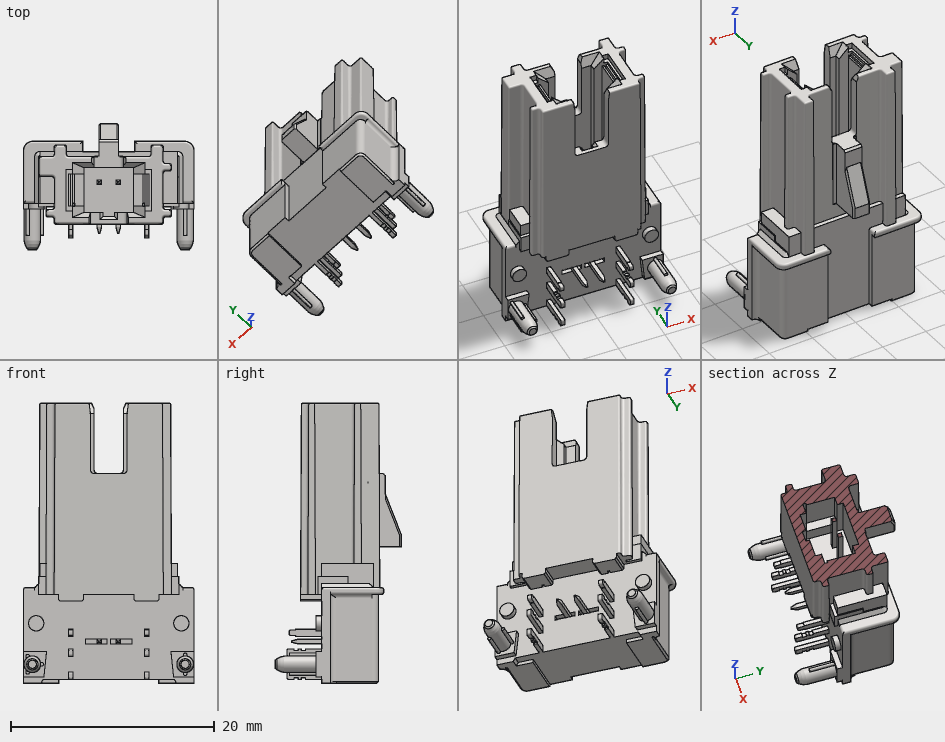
import cadquery as cq
BODY_HALF_X = 8.38
TOTAL_Z = 27.5
LATCH_BACK_Y = 7.82
PEG_TIP_Y = -4.56
DISC_DIA = 1.5

BASE_TOP_Z = 9.4
FLANGE_BACK_Y = 6.1
BACK_RECESS = 0.5
SIDE_RECESS = 0.6
STRIP_COVE_R = 0.6
FLANGE_COVE_R = 0.35
BODY_BOTTOM_CHAMFER = 0.2
FLANGE_BOTTOM_Z = 8.7
FLANGE_CORNER_R = 0.95
FLANGE_EDGE_R = 0.25
STRIP_DEPTH = 0.85
BODY_CORNER_R = 0.65
BACK_GAP_HALF_X = 2.55
BACK_GAP_Y = 5.08
FOOT_HEIGHT = 0.37
FOOT_INNER_X = 4.9
STRIP_FOOT_INNER_X = 6.45
STRIP_FOOT_SLOPE = 0.2

TOWER_BOTTOM_Z = 8.7
TOWER_DRAFT = 0.25
TOWER_TOP_R = 0.18
TOWER_CORNER_R = 0.22
TOWER_FRONT_Y = -2.08
TOWER_BACK_Y = 4.6
TOWER_HALF_X = 5.36
CORNER_RIB_X = 6.17
CORNER_RIB_FRONT_Y = -1.35
CORNER_RIB_BACK_Y = -0.6
BACK_RIB_Y = 5.72
BACK_RIB_INNER_X = 4.12
SIDE_RIB_FRONT_Y = 3.15
SIDE_RIB_BACK_Y = 3.92
WIDE_RIB_X = 6.86
WIDE_RIB_FRONT_Y = 2.6
TAB_BOTTOM_Z = 8.07
TAB_INNER_X = 2.46
TAB_OUTER_X = 4.95
TAB_CHAMFER = 0.17

SHOULDER_HALF_X = 6.87
SHOULDER_TOP_Z = 10.5
SHOULDER_FRONT_Y = -0.35
SADDLE_HALF_X = 6.75
SADDLE_TOP_Z = 11.78
SHOULDER_FOOT_CHAMFER = 0.4
SHOULDER_FOOT_R = 0.5

CAVITY_HALF_X = 2.45
CAVITY_FRONT_Y = -0.9
CAVITY_BACK_Y = 3.5
CAVITY_FLOOR_Z = 10.5
MOUTH_HALF_X = 3.55
MOUTH_FRONT_Y = -1.37
MOUTH_BACK_Y = 3.98
MOUTH_DEPTH = 1.0
POCKET_HALF_X = 3.35
POCKET_FRONT_Y = -0.28
POCKET_BACK_Y = 2.88
POCKET_FLOOR_Z = 12.0
LEDGE_DEPTH = 0.9
KEY_HALF_X = 0.55
KEY_FRONT_Y = -1.28
KEY_FLARE = 0.3
RECESS_X = 4.2
RECESS_FRONT_Y = -0.73
RECESS_BACK_Y = 3.33
RECESS_DEPTH = 0.6
CONTACT_SLOT_X = 3.95
CONTACT_THICKNESS = 0.2
CONTACT_DROP = 0.9
CONTACT_SLOT_DEPTH = 2.0
VENT_X = 3.44
VENT_Y = -0.14
VENT_SIZE = (0.2, 0.28)

FRONT_SLOT_HALF_X = 1.8
FRONT_SLOT_FLARE = (0.13, 1.0)
BACK_SLOT_HALF_X = 1.43
BACK_SLOT_FLARE = (0.26, 0.55)
SLOT_BOTTOM_Z = 20.6
SLOT_CORNER_R = 0.35

LATCH_HALF_X = 0.98
LATCH_ROOT_HALF_X = 1.35
LATCH_ROOT_Y = 4.65
LATCH_TIP_Y = 6.25
LATCH_RAMP_TOP_Z = 18.6
LATCH_RAMP_BOTTOM_Z = 14.6
LATCH_BOTTOM_Z = 13.4
LATCH_CHAMFER = 0.18
LATCH_TOP_CHAMFER = 0.22

STANDOFF = 0.57
DISC_X = 7.12
DISC_Z = 5.89
PEG_X = 7.5
PEG_Z = 1.87
PEG_R = 0.82
PEG_SHAFT_END_Y = -3.65
PEG_SHOULDER_R = 0.74
PEG_SHOULDER_Y = -4.0
PEG_CONE_R = 0.55
PEG_CONE_Y = -4.4
PEG_TIP_R = 0.4
PEG_RIB_CENTRE_R = 0.92
PEG_RIB_R = 0.18
PEG_RIB_END_Y = -3.15
LEFT_PEG_RIBS = (0, 120, 240)
RIGHT_PEG_RIBS = (90, 270)
PAD_BOTTOM_Z = 0.63
PAD_TOP_Z = 3.13
PAD_INNER_BOTTOM_X = 6.36
PAD_INNER_TOP_X = 6.1

TERMINAL_X = 3.73
TERMINAL_WIDTH = 0.42
TERMINAL_HEIGHT = 0.74
PLAIN_TERMINAL_Z = 4.96
PLAIN_TERMINAL_END_Y = -3.2
PLAIN_TIP_LENGTH = 0.65
PLAIN_TIP_STEP = 0.08
NOTCHED_TERMINAL_Z = (3.02, 0.74)
NOTCHED_TERMINAL_END_Y = -3.42
NOTCH_Y = (-1.8, -2.5)
NOTCH_LENGTH = 0.4
NOTCH_DEPTH = 0.16
TERMINAL_ROUND = 0.2
PIN_X = 0.93
PIN_Z = 4.1
PIN_SIZE = 0.46
PIN_END_Y = -2.95
PIN_TIP_LENGTH = 0.6
PIN_TIP_SIZE = 0.15
PIN_SLOT_INNER_X = 0.18
PIN_SLOT_OUTER_X = 2.28
PIN_SLOT_HEIGHT = 0.46
PIN_SLOT_DEPTH = 0.6
SIGNAL_PIN_Y = 2.08
SIGNAL_PIN_SIZE = 0.46
SIGNAL_PIN_TOP_Z = 16.0
SIGNAL_PIN_CHAMFER = 0.15


def box(x0, x1, y0, y1, z0, z1):
    """Box between opposite corners."""
    return cq.Workplane("XY").box(x1 - x0, y1 - y0, z1 - z0, centered=False).translate((x0, y0, z0))


def mirrored(shape):
    """A shape joined with its mirror image across X = 0."""
    return shape.union(shape.mirror("YZ"))


def board_plane(y):
    """XZ workplane at depth y; extrusion runs toward -Y."""
    return cq.Workplane("XZ", origin=(0, y, 0))


def body_block():
    """Body behind the strips, recessed from the flange at the sides and back."""
    side_x = BODY_HALF_X - SIDE_RECESS
    back_y = FLANGE_BACK_Y - BACK_RECESS
    body = box(-side_x, side_x, 0, back_y, 0, BASE_TOP_Z - FLANGE_EDGE_R)
    body = body.edges("|Z and >Y").fillet(BODY_CORNER_R)
    return body.faces("<Z").edges("not <Y").chamfer(BODY_BOTTOM_CHAMFER)


def flange():
    """Rounded collar in two halves, left open at the middle of the back."""
    half = box(BACK_GAP_HALF_X, BODY_HALF_X, 0, FLANGE_BACK_Y, FLANGE_BOTTOM_Z, BASE_TOP_Z)
    half = half.edges("|Z and >Y and >X").fillet(FLANGE_CORNER_R)
    half = half.faces(">Z").edges().fillet(FLANGE_EDGE_R)
    half = half.faces("<Z").edges("not <Y").fillet(FLANGE_EDGE_R)
    return mirrored(half)


def side_coves():
    """Concave blends from the side strips and the flange into the recessed sides."""
    side_x = BODY_HALF_X - SIDE_RECESS
    back_y = FLANGE_BACK_Y - BACK_RECESS
    upright = (
        cq.Workplane("XY")
        .moveTo(side_x, STRIP_DEPTH)
        .lineTo(side_x + STRIP_COVE_R, STRIP_DEPTH)
        .radiusArc((side_x, STRIP_DEPTH + STRIP_COVE_R), STRIP_COVE_R)
        .close()
        .extrude(FLANGE_BOTTOM_Z)
    )
    under_flange = (
        board_plane(back_y - BODY_CORNER_R)
        .moveTo(side_x, FLANGE_BOTTOM_Z)
        .lineTo(side_x + FLANGE_COVE_R, FLANGE_BOTTOM_Z)
        .radiusArc((side_x, FLANGE_BOTTOM_Z - FLANGE_COVE_R), -FLANGE_COVE_R)
        .close()
        .extrude(back_y - BODY_CORNER_R - STRIP_DEPTH)
    )
    return mirrored(upright.union(under_flange))


def base_housing():
    strip = box(-BODY_HALF_X, BODY_HALF_X, 0, STRIP_DEPTH, 0, BASE_TOP_Z - FLANGE_EDGE_R)
    base = body_block().union(flange()).union(strip).union(side_coves())
    base = base.cut(
        box(-BACK_GAP_HALF_X, BACK_GAP_HALF_X, BACK_GAP_Y, FLANGE_BACK_Y, 0, BASE_TOP_Z)
    )
    base = base.cut(box(-FOOT_INNER_X, FOOT_INNER_X, 0, FLANGE_BACK_Y, 0, FOOT_HEIGHT))
    slope_x = STRIP_FOOT_INNER_X + STRIP_FOOT_SLOPE
    strip_relief = (
        board_plane(STRIP_DEPTH)
        .polyline([
            (-slope_x, 0),
            (slope_x, 0),
            (STRIP_FOOT_INNER_X, FOOT_HEIGHT),
            (-STRIP_FOOT_INNER_X, FOOT_HEIGHT),
        ])
        .close()
        .extrude(STRIP_DEPTH)
    )
    return base.cut(strip_relief)


def tab_clearance():
    """Space under the tower's overhang, less the two chamfered tabs left hanging there."""
    tab = box(TAB_INNER_X, TAB_OUTER_X, TOWER_FRONT_Y, 0, TAB_BOTTOM_Z, TOWER_BOTTOM_Z)
    tab = tab.edges("<Z and |Y").chamfer(TAB_CHAMFER)
    space = box(
        -WIDE_RIB_X, WIDE_RIB_X, TOWER_FRONT_Y, BACK_RIB_Y, TAB_BOTTOM_Z, TOWER_BOTTOM_Z
    )
    return space.cut(mirrored(tab))


def tower():
    """Drafted tower with ribs on its sides and back."""
    corner_rib = [
        (TOWER_HALF_X, TOWER_FRONT_Y),
        (TOWER_HALF_X, CORNER_RIB_FRONT_Y),
        (CORNER_RIB_X, CORNER_RIB_FRONT_Y),
        (CORNER_RIB_X, CORNER_RIB_BACK_Y),
        (TOWER_HALF_X, CORNER_RIB_BACK_Y),
    ]
    back_rib = [
        (TOWER_HALF_X, BACK_RIB_Y),
        (BACK_RIB_INNER_X, BACK_RIB_Y),
        (BACK_RIB_INNER_X, TOWER_BACK_Y),
    ]
    right_rib = [
        (TOWER_HALF_X, SIDE_RIB_FRONT_Y),
        (CORNER_RIB_X, SIDE_RIB_FRONT_Y),
        (CORNER_RIB_X, SIDE_RIB_BACK_Y),
        (TOWER_HALF_X, SIDE_RIB_BACK_Y),
    ]
    left_rib = [
        (TOWER_HALF_X, WIDE_RIB_FRONT_Y),
        (WIDE_RIB_X, WIDE_RIB_FRONT_Y),
        (WIDE_RIB_X, TOWER_BACK_Y),
        (TOWER_HALF_X, TOWER_BACK_Y),
    ]
    right_side = corner_rib + right_rib + back_rib
    left_side = [(-x, y) for x, y in corner_rib + left_rib + back_rib]
    outline = right_side + left_side[::-1]
    height = TOTAL_Z - TAB_BOTTOM_Z
    prism = (
        cq.Workplane("XY", origin=(0, 0, TAB_BOTTOM_Z))
        .polyline(outline)
        .close()
        .extrude(height)
        .edges("|Z")
        .fillet(TOWER_CORNER_R)
    )
    rounded_outline = prism.faces("<Z").wires().val()
    solid = cq.Workplane("XY").add(rounded_outline).toPending().extrude(height, taper=TOWER_DRAFT)
    solid = solid.faces(">Z").edges().fillet(TOWER_TOP_R)
    return solid.cut(tab_clearance())


def shoulders():
    lower = box(
        -SHOULDER_HALF_X, SHOULDER_HALF_X, SHOULDER_FRONT_Y, WIDE_RIB_FRONT_Y, TOWER_BOTTOM_Z, SHOULDER_TOP_Z
    )
    saddle = box(-SADDLE_HALF_X, SADDLE_HALF_X, 0, BACK_GAP_Y, TOWER_BOTTOM_Z, SADDLE_TOP_Z)
    reach = SHOULDER_HALF_X + SHOULDER_FOOT_CHAMFER
    foot = box(
        -reach, reach, 0, BACK_GAP_Y, FLANGE_BOTTOM_Z, BASE_TOP_Z + SHOULDER_FOOT_CHAMFER
    )
    foot = foot.edges("|Z and >Y").fillet(SHOULDER_FOOT_R)
    foot = foot.faces(">Z").edges("|Y").chamfer(SHOULDER_FOOT_CHAMFER)
    return lower.union(saddle).union(foot)


def cavity():
    hollow = box(
        -CAVITY_HALF_X, CAVITY_HALF_X, CAVITY_FRONT_Y, CAVITY_BACK_Y, CAVITY_FLOOR_Z, TOTAL_Z
    )
    mouth_y = (MOUTH_FRONT_Y + MOUTH_BACK_Y) / 2
    throat_y = (CAVITY_FRONT_Y + CAVITY_BACK_Y) / 2
    mouth = (
        cq.Workplane("XY", origin=(0, 0, TOTAL_Z))
        .center(0, mouth_y)
        .rect(2 * MOUTH_HALF_X, MOUTH_BACK_Y - MOUTH_FRONT_Y)
        .workplane(offset=-MOUTH_DEPTH)
        .center(0, throat_y - mouth_y)
        .rect(2 * CAVITY_HALF_X, CAVITY_BACK_Y - CAVITY_FRONT_Y)
        .loft(ruled=True)
    )
    pocket = box(
        -POCKET_HALF_X, POCKET_HALF_X, POCKET_FRONT_Y, POCKET_BACK_Y, POCKET_FLOOR_Z, TOTAL_Z
    )
    ledge = box(
        -MOUTH_HALF_X, MOUTH_HALF_X, POCKET_FRONT_Y, POCKET_BACK_Y, TOTAL_Z - LEDGE_DEPTH, TOTAL_Z
    )
    key = box(-KEY_HALF_X, KEY_HALF_X, KEY_FRONT_Y, CAVITY_FRONT_Y, CAVITY_FLOOR_Z, TOTAL_Z)
    key_mouth = (
        cq.Workplane("XY", origin=(0, CAVITY_FRONT_Y, SLOT_BOTTOM_Z))
        .rect(2 * (KEY_HALF_X + KEY_FLARE), 2 * (CAVITY_FRONT_Y - KEY_FRONT_Y + KEY_FLARE))
        .workplane(offset=-KEY_FLARE)
        .rect(2 * KEY_HALF_X, 2 * (CAVITY_FRONT_Y - KEY_FRONT_Y))
        .loft()
    )
    recess = box(
        MOUTH_HALF_X, RECESS_X, RECESS_FRONT_Y, RECESS_BACK_Y, TOTAL_Z - RECESS_DEPTH, TOTAL_Z
    )
    hollow = hollow.union(mouth).union(pocket).union(ledge)
    hollow = hollow.union(key).union(key_mouth).union(mirrored(recess))
    return hollow.union(contact_slots()).union(vents())


def contact_slots():
    """Slots beside the cavity, each leaving a contact blade standing on its outer side."""
    blade_x = CONTACT_SLOT_X - CONTACT_THICKNESS
    gap = box(
        MOUTH_HALF_X, blade_x, POCKET_FRONT_Y, POCKET_BACK_Y, TOTAL_Z - CONTACT_SLOT_DEPTH, TOTAL_Z
    )
    above_blade = box(
        blade_x, CONTACT_SLOT_X, POCKET_FRONT_Y, POCKET_BACK_Y, TOTAL_Z - CONTACT_DROP, TOTAL_Z
    )
    return mirrored(gap.union(above_blade))


def vents():
    """Small openings from the side pockets down through the overhang."""
    vent = (
        cq.Workplane("XY", origin=(VENT_X, VENT_Y, TAB_BOTTOM_Z))
        .rect(*VENT_SIZE)
        .extrude(TOTAL_Z - TAB_BOTTOM_Z)
    )
    return mirrored(vent)


def wall_slot(half_x, flare, front_y, back_y):
    """Round-cornered notch through one wall, flared outward at the top."""
    flare_width, flare_depth = flare
    slot = box(-half_x, half_x, front_y, back_y, SLOT_BOTTOM_Z, TOTAL_Z)
    slot = slot.edges("|Y and <Z").fillet(SLOT_CORNER_R)
    mouth = (
        board_plane(back_y)
        .polyline([
            (-half_x, TOTAL_Z - flare_depth),
            (half_x, TOTAL_Z - flare_depth),
            (half_x + flare_width, TOTAL_Z),
            (-half_x - flare_width, TOTAL_Z),
        ])
        .close()
        .extrude(back_y - front_y)
    )
    return slot.union(mouth)


def wall_slots():
    front = wall_slot(FRONT_SLOT_HALF_X, FRONT_SLOT_FLARE, TOWER_FRONT_Y, CAVITY_FRONT_Y)
    back = wall_slot(BACK_SLOT_HALF_X, BACK_SLOT_FLARE, CAVITY_BACK_Y, TOWER_BACK_Y)
    return front.union(back)


def latch():
    """Ramped hook on the back of the tower, with a wider root in the back wall."""
    profile = [
        (CAVITY_BACK_Y, LATCH_BOTTOM_Z),
        (LATCH_BACK_Y, LATCH_BOTTOM_Z),
        (LATCH_BACK_Y, LATCH_RAMP_BOTTOM_Z),
        (LATCH_TIP_Y, LATCH_RAMP_TOP_Z),
        (LATCH_TIP_Y, SLOT_BOTTOM_Z),
        (CAVITY_BACK_Y, SLOT_BOTTOM_Z),
    ]
    hook = (
        cq.Workplane("YZ", origin=(-LATCH_HALF_X, 0, 0))
        .polyline(profile)
        .close()
        .extrude(2 * LATCH_HALF_X)
    )
    hook = hook.edges("(|Z and >Y) or (not (|X or |Y or |Z))").chamfer(LATCH_CHAMFER)
    hook = hook.faces(">Z").edges(">Y").chamfer(LATCH_TOP_CHAMFER)
    root = box(
        -LATCH_ROOT_HALF_X, LATCH_ROOT_HALF_X, CAVITY_BACK_Y, LATCH_ROOT_Y, LATCH_BOTTOM_Z, SLOT_BOTTOM_Z
    )
    return hook.union(root)


def discs():
    """Round stand-offs on the board face."""
    return (
        board_plane(0)
        .pushPoints([(-DISC_X, DISC_Z), (DISC_X, DISC_Z)])
        .circle(DISC_DIA / 2)
        .extrude(STANDOFF)
    )


def peg_pads():
    """Raised pads under the pegs, each with one sloped side."""
    pad = (
        board_plane(0)
        .polyline([
            (PAD_INNER_BOTTOM_X, PAD_BOTTOM_Z),
            (BODY_HALF_X, PAD_BOTTOM_Z),
            (BODY_HALF_X, PAD_TOP_Z),
            (PAD_INNER_TOP_X, PAD_TOP_Z),
        ])
        .close()
        .extrude(STANDOFF)
    )
    return mirrored(pad)


def peg(x, rib_angles):
    """Stepped, tapered peg along -Y with crush ribs at the given angles."""
    shape = (
        cq.Workplane("XY")
        .polyline([
            (0, 0),
            (PEG_R, 0),
            (PEG_R, PEG_SHAFT_END_Y),
            (PEG_SHOULDER_R, PEG_SHOULDER_Y),
            (PEG_CONE_R, PEG_CONE_Y),
            (PEG_TIP_R, PEG_TIP_Y),
            (0, PEG_TIP_Y),
        ])
        .close()
        .revolve(360, (0, 0, 0), (0, 1, 0))
    )
    rib = board_plane(0).center(PEG_RIB_CENTRE_R, 0).circle(PEG_RIB_R).extrude(-PEG_RIB_END_Y)
    for angle in rib_angles:
        shape = shape.union(rib.rotate((0, 0, 0), (0, 1, 0), angle))
    return shape.translate((x, 0, PEG_Z))


def plain_terminal():
    """Flat terminal with a slightly narrower, rounded tip."""
    half_height = TERMINAL_HEIGHT / 2
    shank_end_y = PLAIN_TERMINAL_END_Y + PLAIN_TIP_LENGTH
    shank = (
        cq.Workplane("XY")
        .box(TERMINAL_WIDTH, -shank_end_y, TERMINAL_HEIGHT)
        .translate((TERMINAL_X, shank_end_y / 2, PLAIN_TERMINAL_Z))
    )
    tip = (
        cq.Workplane("XY")
        .box(TERMINAL_WIDTH, PLAIN_TIP_LENGTH, 2 * (half_height - PLAIN_TIP_STEP))
        .edges("|X and <Y")
        .fillet(TERMINAL_ROUND)
        .translate((TERMINAL_X, shank_end_y - PLAIN_TIP_LENGTH / 2, PLAIN_TERMINAL_Z))
    )
    return shank.union(tip)


def notched_terminal(z, notch_side):
    """Terminal with two notches on its upper (+1) or lower (-1) edge."""
    blade = (
        cq.Workplane("XY")
        .box(TERMINAL_WIDTH, -NOTCHED_TERMINAL_END_Y, TERMINAL_HEIGHT)
        .edges("|X and <Y")
        .fillet(TERMINAL_ROUND)
        .translate((TERMINAL_X, NOTCHED_TERMINAL_END_Y / 2, z))
    )
    for y in NOTCH_Y:
        notch = cq.Workplane("XY").box(TERMINAL_WIDTH, NOTCH_LENGTH, 2 * NOTCH_DEPTH)
        blade = blade.cut(notch.translate((TERMINAL_X, y, z + notch_side * TERMINAL_HEIGHT / 2)))
    return blade


def board_pin():
    """Square pin with a tapered tip, rooted at the back of its slot."""
    shank_end_y = PIN_END_Y + PIN_TIP_LENGTH
    shank = (
        board_plane(PIN_SLOT_DEPTH)
        .center(PIN_X, PIN_Z)
        .rect(PIN_SIZE, PIN_SIZE)
        .extrude(PIN_SLOT_DEPTH - shank_end_y)
    )
    tip = (
        board_plane(shank_end_y)
        .center(PIN_X, PIN_Z)
        .rect(PIN_SIZE, PIN_SIZE)
        .workplane(offset=PIN_TIP_LENGTH)
        .rect(PIN_TIP_SIZE, PIN_TIP_SIZE)
        .loft()
    )
    return shank.union(tip)


def pin_slots():
    half_height = PIN_SLOT_HEIGHT / 2
    slot = box(
        PIN_SLOT_INNER_X, PIN_SLOT_OUTER_X, 0, PIN_SLOT_DEPTH, PIN_Z - half_height, PIN_Z + half_height
    )
    return mirrored(slot)


def signal_pins():
    """Square pins standing on the cavity floor."""
    pin = (
        cq.Workplane("XY", origin=(PIN_X, SIGNAL_PIN_Y, CAVITY_FLOOR_Z))
        .rect(SIGNAL_PIN_SIZE, SIGNAL_PIN_SIZE)
        .extrude(SIGNAL_PIN_TOP_Z - CAVITY_FLOOR_Z)
        .faces(">Z")
        .chamfer(SIGNAL_PIN_CHAMFER)
    )
    return mirrored(pin)


def terminals():
    upper_z, lower_z = NOTCHED_TERMINAL_Z
    row = plain_terminal().union(notched_terminal(upper_z, 1)).union(notched_terminal(lower_z, -1))
    return mirrored(row.union(board_pin()))


housing = base_housing().union(tower()).union(shoulders())
housing = housing.cut(cavity()).cut(wall_slots()).cut(pin_slots())
housing = housing.union(latch()).union(discs()).union(peg_pads())
housing = housing.union(peg(-PEG_X, LEFT_PEG_RIBS)).union(peg(PEG_X, RIGHT_PEG_RIBS))
result = housing.union(terminals()).union(signal_pins())